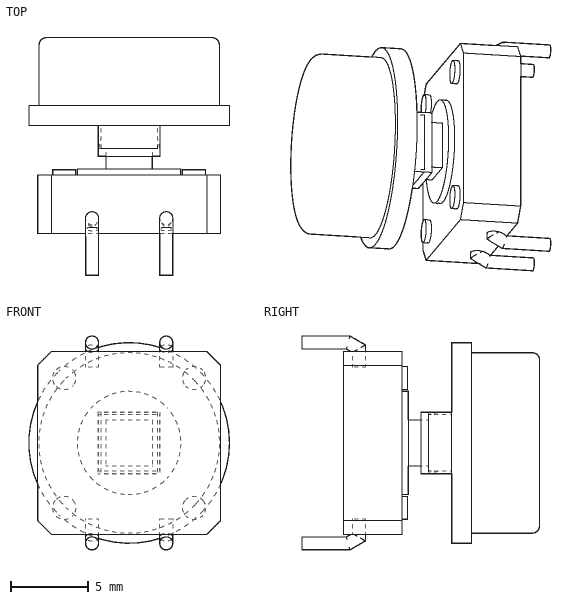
import cadquery as cq


housing_width = 11.85
housing_depth = 3.8
housing_corner_chamfer = 0.9
stud_diameter = 1.5
stud_height = 0.35
stud_offset = 4.2

disc_diameter = 6.7
disc_height = 0.4
disc_front = housing_depth + disc_height

neck_width = 3.0
head_width = 3.65
head_start = 5.5
barb_height = 0.15
barb_length = 0.7

sleeve_width = 4.0
sleeve_start = 5.0
rim_diameter = 13.0
rim_start = 7.0
rim_thickness = 1.3
button_diameter = 11.7
button_start = rim_start + rim_thickness
button_front = 12.7
button_fillet = 0.5

pin_diameter = 0.85
pin_x = 2.4
pin_z = 6.5
pin_tip = -2.7
pin_bend = 0.3
pin_root = 1.0
pin_shoulder_z = 6.1
pin_embed = 1.0


def facing_front(y):
    """Workplane at the given Y, with its normal along +Y."""
    return cq.Workplane(cq.Plane(origin=(0, y, 0), xDir=(1, 0, 0), normal=(0, 1, 0)))


def square_bar(width, start, end):
    return facing_front(start).rect(width, width).extrude(end - start)


def round_bar(diameter, start, end):
    return facing_front(start).circle(diameter / 2).extrude(end - start)


def make_barb(angle):
    """Wedge on one head side, tallest at the neck end, turned about Y to the given angle."""
    side = head_width / 2
    wedge = (
        cq.Workplane("YZ")
        .moveTo(head_start, side)
        .lineTo(head_start, side + barb_height)
        .lineTo(head_start + barb_length, side)
        .close()
        .extrude(head_width / 2, both=True)
    )
    return wedge.rotate((0, 0, 0), (0, 1, 0), angle)


def make_pin(x, side):
    path = (
        cq.Workplane("YZ", origin=(x, 0, 0))
        .moveTo(pin_tip, side * pin_z)
        .lineTo(pin_bend, side * pin_z)
        .lineTo(pin_root, side * pin_shoulder_z)
        .lineTo(pin_root, side * (housing_width / 2 - pin_embed))
    )
    section = facing_front(pin_tip).center(x, -side * pin_z).circle(pin_diameter / 2)
    return section.sweep(path, transition="right")


pins = [make_pin(x, side) for x in (-pin_x, pin_x) for side in (-1, 1)]

housing = square_bar(housing_width, 0, housing_depth).edges("|Y").chamfer(housing_corner_chamfer)
studs = (
    facing_front(housing_depth)
    .rect(2 * stud_offset, 2 * stud_offset, forConstruction=True)
    .vertices()
    .circle(stud_diameter / 2)
    .extrude(stud_height)
)
housing = housing.union(studs)
for pin in pins:
    housing = housing.cut(pin)

disc = round_bar(disc_diameter, housing_depth, disc_front)

neck = square_bar(neck_width, disc_front, head_start)
head = square_bar(head_width, head_start, rim_start)
plunger = neck.union(head)
for angle in (0, 90, 180, 270):
    plunger = plunger.union(make_barb(angle))

sleeve = square_bar(sleeve_width, sleeve_start, rim_start)
rim = round_bar(rim_diameter, rim_start, button_start)
button = round_bar(button_diameter, button_start, button_front).faces(">Y").edges().fillet(button_fillet)
cap = sleeve.union(rim).union(button).cut(plunger)

result = cq.Compound.makeCompound(
    [housing.val(), disc.val(), plunger.val(), cap.val(), *[pin.val() for pin in pins]]
)